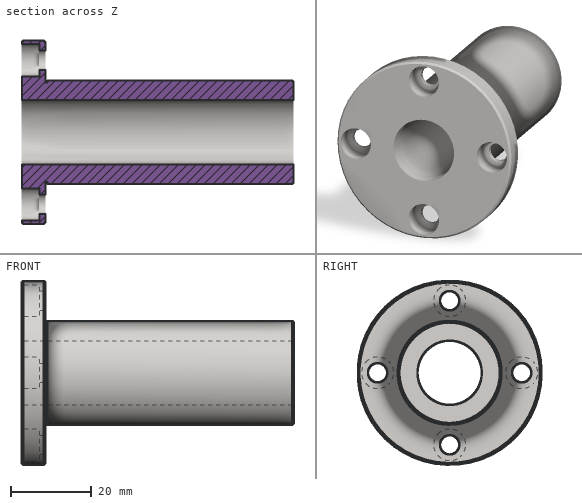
import cadquery as cq

total_length = 68.0
flange_diameter = 46.0
flange_thickness = 6.0
body_diameter = 26.0
bore_diameter = 16.0

edge_chamfer = 0.5
groove_width = 0.5
groove_depth = 0.5

hole_count = 4
bolt_circle_diameter = 36.0
hole_diameter = 4.75
counterbore_diameter = 7.95
counterbore_depth = 4.4


def cylinder(diameter, start, length):
    """Solid cylinder on the X axis."""
    return cq.Workplane("YZ", origin=(start, 0, 0)).circle(diameter / 2).extrude(length)


def make_flange():
    return cylinder(flange_diameter, 0, flange_thickness).edges().chamfer(edge_chamfer)


def make_body():
    neck_diameter = body_diameter - 2 * groove_depth
    body_start = flange_thickness + groove_width
    neck = cylinder(neck_diameter, 0, body_start)
    body = cylinder(body_diameter, body_start, total_length - body_start)
    return neck.union(body.faces(">X").edges().chamfer(edge_chamfer))


def make_mounting_holes():
    def pattern(diameter, depth):
        return (
            cq.Workplane("YZ")
            .polarArray(bolt_circle_diameter / 2, 0, 360, hole_count)
            .circle(diameter / 2)
            .extrude(depth)
        )

    through_holes = pattern(hole_diameter, flange_thickness)
    return through_holes.union(pattern(counterbore_diameter, counterbore_depth))


bore = cylinder(bore_diameter, 0, total_length)
result = make_flange().union(make_body()).cut(bore).cut(make_mounting_holes())